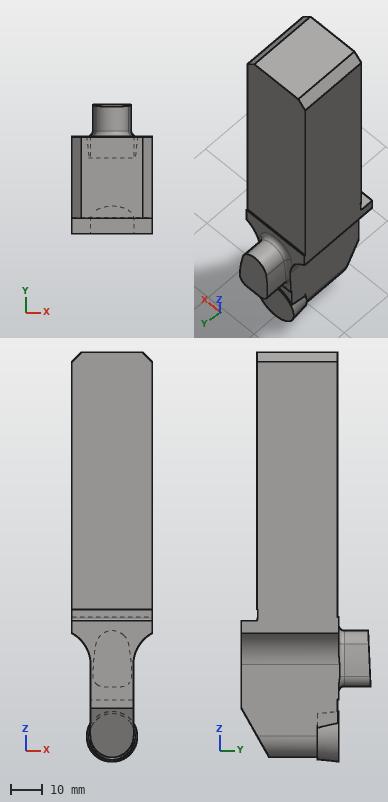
import cadquery as cq
import math


shank_width = 25.3
rear_face_y = -0.4
shank_front_y = rear_face_y - shank_width
total_height = 128.5
top_chamfer = 3.1

front_y = -30.6
ledge_z = 44.3
relief_depth = 0.3
relief_top_z = 47.9
relief_corner_height = 0.9

neck_width = 13.5
neck_radius = neck_width / 2
nose_bottom_z = 1.4
nose_center_z = nose_bottom_z + neck_radius
shoulder_radius = 11.0
shoulder_z = 40.3
slope_top_z = 16.8
slope_bottom_y = -21.8

pad_bottom_z = 19.5
pad_top_z = 45.5

boss_top_z = 41.2
boss_arch_end_z = 37.0
boss_arch_end_x = 5.1
boss_half_width = 6.0
boss_corner_z = 26.8
boss_bottom_z = 23.6
boss_top_y = 9.2
boss_bottom_y = 10.0
boss_root_fillet = 1.7
root_margin = 0.1

insert_radius = 8.0
insert_thickness = 6.7
insert_relief_angle = 6
insert_rear_y = 0


def front_outline():
    """Full height outline in XZ: shank, concave shoulders and rounded neck."""
    half_width = shank_width / 2
    overhang = half_width - neck_radius
    inward = shoulder_radius - overhang
    drop = math.sqrt(shoulder_radius**2 - inward**2)
    neck_top_z = shoulder_z - drop
    half_angle = math.atan2(drop, inward) / 2
    arc_x = neck_radius + shoulder_radius * (1 - math.cos(half_angle))
    arc_z = neck_top_z + shoulder_radius * math.sin(half_angle)
    return (
        cq.Workplane("XZ")
        .moveTo(-half_width, total_height - top_chamfer)
        .lineTo(-half_width + top_chamfer, total_height)
        .lineTo(half_width - top_chamfer, total_height)
        .lineTo(half_width, total_height - top_chamfer)
        .lineTo(half_width, shoulder_z)
        .threePointArc((arc_x, arc_z), (neck_radius, neck_top_z))
        .lineTo(neck_radius, nose_center_z)
        .threePointArc((0, nose_bottom_z), (-neck_radius, nose_center_z))
        .lineTo(-neck_radius, neck_top_z)
        .threePointArc((-arc_x, arc_z), (-half_width, shoulder_z))
        .close()
    )


def side_profile():
    """Prism across the full width with the ledge, relief, slope and rear pad."""
    relief_y = shank_front_y + relief_depth
    return (
        cq.Workplane("YZ")
        .moveTo(rear_face_y, total_height)
        .lineTo(shank_front_y, total_height)
        .lineTo(shank_front_y, relief_top_z)
        .lineTo(relief_y, relief_top_z - relief_depth)
        .lineTo(relief_y, ledge_z + relief_corner_height)
        .lineTo(shank_front_y, ledge_z)
        .lineTo(front_y, ledge_z)
        .lineTo(front_y, slope_top_z)
        .lineTo(slope_bottom_y, nose_bottom_z)
        .lineTo(rear_face_y, nose_bottom_z)
        .lineTo(rear_face_y, pad_bottom_z)
        .lineTo(0, pad_bottom_z)
        .lineTo(0, pad_top_z)
        .lineTo(rear_face_y, pad_top_z)
        .close()
        .extrude(shank_width / 2, both=True)
    )


def rear_boss():
    """Arched boss on the rear pad, with a slightly tilted end face."""
    arch_rise = boss_top_z - boss_arch_end_z
    arch_radius = (boss_arch_end_x**2 + arch_rise**2) / (2 * arch_rise)
    half_angle = math.asin(boss_arch_end_x / arch_radius) / 2
    arch_mid_x = arch_radius * math.sin(half_angle)
    arch_mid_z = boss_top_z - arch_radius * (1 - math.cos(half_angle))
    flat_half = boss_half_width - (boss_corner_z - boss_bottom_z)
    boss = (
        cq.Workplane("XZ", origin=(0, rear_face_y, 0))
        .moveTo(0, boss_top_z)
        .threePointArc((arch_mid_x, arch_mid_z), (boss_arch_end_x, boss_arch_end_z))
        .tangentArcPoint((boss_half_width, boss_corner_z), relative=False)
        .tangentArcPoint((flat_half, boss_bottom_z), relative=False)
        .lineTo(0, boss_bottom_z)
        .mirrorY()
        .extrude(rear_face_y - boss_bottom_y)
    )
    envelope = (
        cq.Workplane("YZ")
        .moveTo(rear_face_y, boss_top_z)
        .lineTo(boss_top_y, boss_top_z)
        .lineTo(boss_bottom_y, boss_bottom_z)
        .lineTo(rear_face_y, boss_bottom_z)
        .close()
        .extrude(shank_width / 2, both=True)
    )
    return boss.intersect(envelope)


def make_insert():
    """Round insert, tapering towards its seat in the holder."""
    return (
        cq.Workplane("XZ", origin=(0, insert_rear_y, insert_radius))
        .circle(insert_radius)
        .extrude(insert_thickness, taper=insert_relief_angle)
    )


def make_holder(insert):
    """Tool holder with its rear boss and a seat that matches the insert."""
    body = side_profile().union(rear_boss())
    root_edges = cq.selectors.BoxSelector(
        (-boss_half_width - root_margin, -root_margin, boss_bottom_z - root_margin),
        (boss_half_width + root_margin, root_margin, boss_top_z + root_margin),
        boundingbox=True,
    )
    body = body.edges(root_edges).fillet(boss_root_fillet)
    outline_prism = front_outline().extrude(-front_y).union(front_outline().extrude(-boss_bottom_y))
    body = body.intersect(outline_prism)
    return body.cut(insert)


insert = make_insert()
holder = make_holder(insert)

result = cq.Compound.makeCompound([holder.val(), insert.val()])